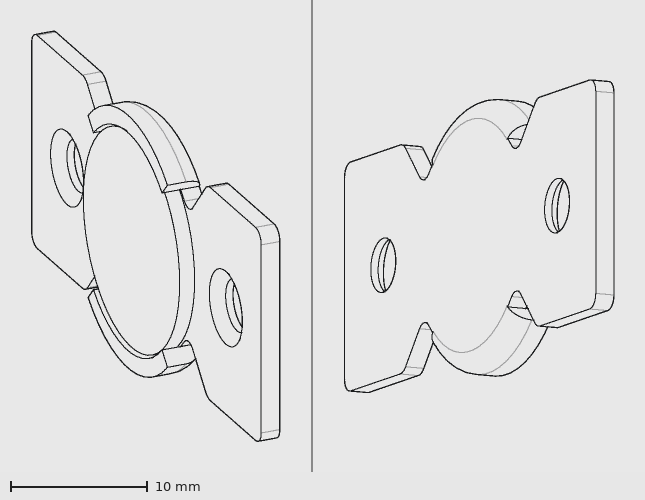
import cadquery as cq
import math

plate_length = 40.5
plate_width = 17.0
plate_thickness = 1.5
plate_corner_radius = 1.0

disc_radius = 8.5
disc_thickness = 1.2

tab_outer_radius = 10.09
tab_inner_radius = 8.7
tab_half_angle = math.radians(44.0)
tab_bend_radius = plate_thickness
lip_height = 1.5

notch_mouth_x = 10.75
notch_root_x = 7.45
notch_root_z = 4.86
notch_root_radius = 1.0
notch_mouth_radius = 1.2

hole_spacing = 28.0
hole_diameter = 4.0
countersink_diameter = 5.8
countersink_depth = (countersink_diameter - hole_diameter) / 2


def front_workplane():
    """Sketch plane on the plate's front face: local x = X, local y = Z, extruding towards -Y."""
    return cq.Workplane("XZ")


def tab_point(radius):
    """End of the upper right tab at the given radius, as (x, z)."""
    return (radius * math.sin(tab_half_angle), radius * math.cos(tab_half_angle))


def mirrored(solid):
    """The solid together with its mirror images, filling all four quadrants."""
    half = solid.union(solid.mirror("YZ"))
    return half.union(half.mirror("XY"))


def make_wings():
    """Quarter of the flat plate, with a notch beside the tab, mirrored to the whole plate."""
    half_length = plate_length / 2
    half_width = plate_width / 2
    notch_end_x, notch_end_z = tab_point(tab_inner_radius)
    quarter = (
        front_workplane()
        .polyline([
            (0, 0),
            (half_length, 0),
            (half_length, half_width),
            (notch_mouth_x, half_width),
            (notch_root_x, notch_root_z),
            (notch_end_x, notch_end_z),
        ])
        .close()
        .extrude(-plate_thickness)
    )

    def round_edge(solid, x, z, radius):
        corner = cq.selectors.NearestToPointSelector((x, plate_thickness / 2, z))
        return solid.edges(corner).fillet(radius)

    quarter = round_edge(quarter, half_length, half_width, plate_corner_radius)
    quarter = round_edge(quarter, notch_mouth_x, half_width, notch_mouth_radius)
    quarter = round_edge(quarter, notch_root_x, notch_root_z, notch_root_radius)
    return mirrored(quarter)


def make_tab_sector(inner_radius):
    """Sketch of the upper tab between inner_radius (0 for a full wedge) and the outer radius."""
    outer_x, outer_z = tab_point(tab_outer_radius)
    sketch = (
        front_workplane()
        .moveTo(-outer_x, outer_z)
        .threePointArc((0, tab_outer_radius), (outer_x, outer_z))
    )
    if inner_radius == 0:
        return sketch.lineTo(0, 0).close()
    inner_x, inner_z = tab_point(inner_radius)
    return (
        sketch.lineTo(inner_x, inner_z)
        .threePointArc((0, inner_radius), (-inner_x, inner_z))
        .close()
    )


def make_tabs():
    """Upper and lower tabs: a flat wedge with a rounded bend, and a lip standing forward."""
    bent_disc = (
        front_workplane()
        .circle(tab_outer_radius)
        .extrude(-(plate_thickness + lip_height))
        .translate((0, -lip_height, 0))
        .faces(">Y")
        .edges()
        .fillet(tab_bend_radius)
    )
    wedge = make_tab_sector(0).extrude(-plate_thickness)
    lip = make_tab_sector(tab_inner_radius).extrude(lip_height)
    tab = wedge.union(lip).intersect(bent_disc)
    return tab.union(tab.mirror("XY"))


def make_hole_cutters():
    """Through holes with a conical countersink opening on the front face."""
    hole_radius = hole_diameter / 2
    countersink_radius = countersink_diameter / 2
    profile = [
        (0, 0),
        (countersink_radius, 0),
        (hole_radius, countersink_depth),
        (hole_radius, plate_thickness),
        (0, plate_thickness),
    ]
    cutter = cq.Workplane("XY").polyline(profile).close().revolve(360, (0, 0), (0, 1))
    return [cutter.translate((side * hole_spacing / 2, 0, 0)) for side in (-1, 1)]


def make_plate():
    """Clip plate: wings and tabs in one piece, with countersunk holes."""
    body = make_wings().union(make_tabs())
    for cutter in make_hole_cutters():
        body = body.cut(cutter)
    return body


def make_disc():
    """Plain round disc lying on the front face of the plate between the lips."""
    return front_workplane().circle(disc_radius).extrude(disc_thickness)


plate = make_plate()
disc = make_disc()

result = cq.Compound.makeCompound([plate.val(), disc.val()])